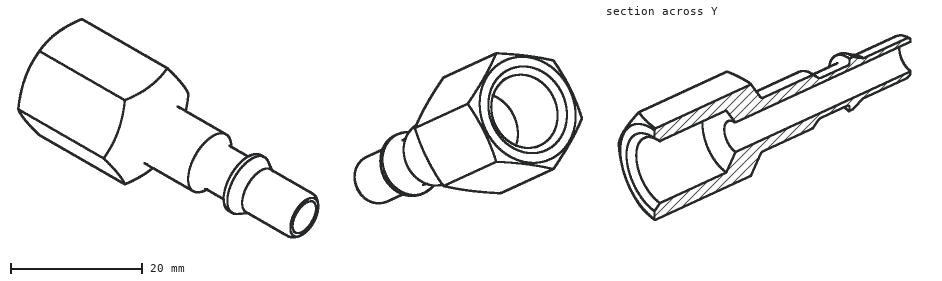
import cadquery as cq
import math

total_length = 50.0

hex_across_flats = 17.0
hex_flat_end = 18.9
hex_face_diameter = 16.5
hex_cone_angle = 30.0

shank_radius = 5.0
shank_end = 30.95
shank_root_fillet = 0.4

neck_radius = 3.75
neck_fillet = 0.85

collar_start = 38.0
collar_rim_width = 0.75
collar_radius = 4.9
collar_slope_angle = 30.0
collar_root_fillet = 0.3

tip_chamfer = 0.5
tip_fillet = 0.9

socket_radius = 5.7
socket_chamfer = 1.05
socket_depth = 14.0
drill_point_angle = 118.0
passage_radius = 2.7

hex_slope = math.tan(math.radians(hex_cone_angle))
hex_flat_radius = hex_across_flats / 2
hex_corner_radius = hex_flat_radius / math.cos(math.radians(30))
hex_face_radius = hex_face_diameter / 2
shank_start = hex_flat_end + (hex_flat_radius - shank_radius) * hex_slope
neck_start = shank_end + shank_radius - neck_radius
collar_rim_end = collar_start + collar_rim_width
collar_end = collar_rim_end + (collar_radius - neck_radius) / math.tan(math.radians(collar_slope_angle))
drill_point_length = (socket_radius - passage_radius) / math.tan(math.radians(drill_point_angle / 2))


def revolve_about_x(points):
    """Turn a closed outline of (x, radius) points about the X axis."""
    return cq.Workplane("XY").polyline(points).close().revolve(360, (0, 0, 0), (1, 0, 0))


def ring_edge(x, radius):
    """Selector box around the circular edge of the given radius at x."""
    margin = 0.005
    reach = radius + margin
    return cq.selectors.BoxSelector(
        (x - margin, -reach, -reach), (x + margin, reach, reach), boundingbox=True
    )


def make_hex_body():
    """Hexagon with corners on Y, its corners turned down by a cone at each end."""
    hexagon = cq.Workplane("YZ").polygon(6, 2 * hex_corner_radius).extrude(shank_start)
    cones = revolve_about_x([
        (0, 0),
        (0, hex_face_radius),
        ((hex_corner_radius - hex_face_radius) * hex_slope, hex_corner_radius),
        (hex_flat_end - (hex_corner_radius - hex_flat_radius) * hex_slope, hex_corner_radius),
        (shank_start, shank_radius),
        (shank_start, 0),
    ])
    return hexagon.intersect(cones)


def make_plug():
    """Turned shank, neck, collar and tip."""
    plug = revolve_about_x([
        (shank_start, 0),
        (shank_start, shank_radius),
        (shank_end, shank_radius),
        (neck_start, neck_radius),
        (collar_start, neck_radius),
        (collar_start, collar_radius),
        (collar_rim_end, collar_radius),
        (collar_end, neck_radius),
        (total_length - tip_chamfer, neck_radius),
        (total_length, neck_radius - tip_chamfer),
        (total_length, 0),
    ])
    plug = plug.edges(ring_edge(neck_start, neck_radius)).fillet(neck_fillet)
    plug = plug.edges(ring_edge(collar_start, neck_radius)).fillet(collar_root_fillet)
    return plug.edges(ring_edge(total_length - tip_chamfer, neck_radius)).fillet(tip_fillet)


def make_bore():
    """Chamfered socket with a drill-point bottom, running into the through passage."""
    return revolve_about_x([
        (0, 0),
        (0, socket_radius + socket_chamfer),
        (socket_chamfer, socket_radius),
        (socket_depth, socket_radius),
        (socket_depth + drill_point_length, passage_radius),
        (total_length, passage_radius),
        (total_length, 0),
    ])


body = make_hex_body().union(make_plug())
body = body.edges(ring_edge(shank_start, shank_radius)).fillet(shank_root_fillet)
result = body.cut(make_bore())